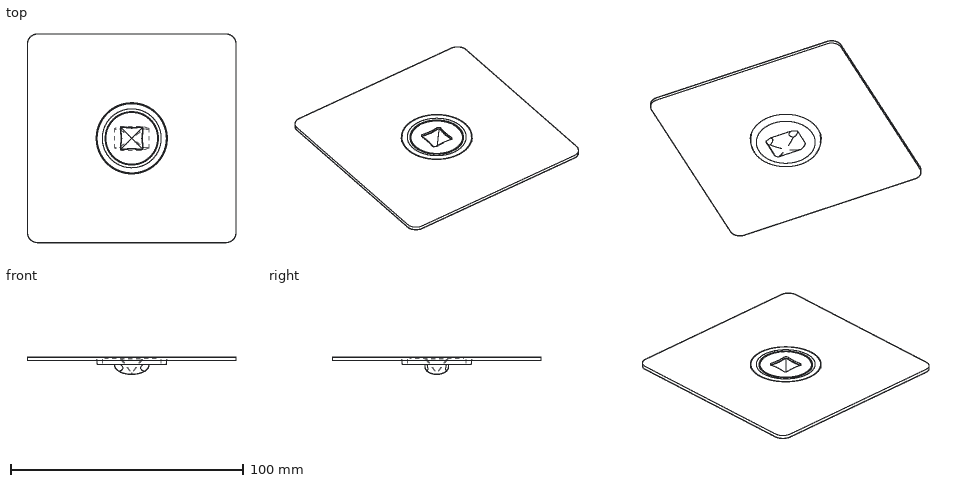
import cadquery as cq
import math

plate_side = 90.0
plate_thickness = 1.5
plate_corner_radius = 4.5
plate_hole_diameter = 30.5

ring_diameter = 30.0
cup_diameter = 25.4
insert_height = 3.2
ring_edge_radius = 0.4
overall_height = 7.48

groove_outer_diameter = 23.0
groove_width = 0.35
groove_depth = 0.5

bulge_length = 14.9
bulge_width = 10.3
long_vault_wall = 0.2
cross_vault_wall = 0.8
corner_cut_length = 2.75
corner_cut_width = 1.0
corner_cut_taper = 15.0

pit_corner = 5.2
pit_waist = 4.65
pit_corner_radius = 1.0
lip_depth = 0.8
star_corner = 4.8
star_waist = 4.3
pit_floor_thickness = 0.6
star_tip_ratio = 0.02

top_z = plate_thickness
insert_bottom_z = top_z - insert_height
bottom_z = top_z - overall_height
bulge_depth = insert_bottom_z - bottom_z


def make_plate():
    """Flat square plate with rounded corners and a round hole."""
    return (
        cq.Workplane("XY")
        .rect(plate_side, plate_side)
        .extrude(plate_thickness)
        .edges("|Z")
        .fillet(plate_corner_radius)
        .faces(">Z")
        .workplane()
        .hole(plate_hole_diameter)
    )


def make_ring():
    """Flat ring, rounded along its lower outer edge."""
    disc = (
        cq.Workplane("XY", origin=(0, 0, insert_bottom_z))
        .circle(ring_diameter / 2)
        .extrude(insert_height)
        .faces("<Z")
        .fillet(ring_edge_radius)
    )
    bore = (
        cq.Workplane("XY", origin=(0, 0, insert_bottom_z))
        .circle(cup_diameter / 2)
        .extrude(insert_height)
    )
    return disc.cut(bore)


def make_vault(plane, width, straight_wall, length):
    """Trough hanging under the cup: upright walls over a half-elliptic bottom."""
    half_width = width / 2
    ellipse_z = insert_bottom_z - straight_wall
    return (
        cq.Workplane(plane)
        .workplane(offset=-length / 2)
        .moveTo(half_width, insert_bottom_z)
        .lineTo(-half_width, insert_bottom_z)
        .lineTo(-half_width, ellipse_z)
        .ellipseArc(half_width, bulge_depth - straight_wall, 180, 360, startAtCurrent=True)
        .close()
        .extrude(length)
    )


def make_bulge():
    """Two crossing vaults with their four corners cut off by the faces of a tapered rhombus."""
    long_vault = make_vault("XZ", bulge_length, long_vault_wall, bulge_width)
    cross_vault = make_vault("YZ", bulge_width, cross_vault_wall, bulge_length)
    cut_slope = corner_cut_width / corner_cut_length
    rhombus_half_width = bulge_width / 2 + (bulge_length / 2 - corner_cut_length) * cut_slope
    rhombus_half_length = rhombus_half_width / cut_slope
    rhombus = (
        cq.Workplane("XY", origin=(0, 0, insert_bottom_z))
        .moveTo(rhombus_half_length, 0)
        .lineTo(0, rhombus_half_width)
        .lineTo(-rhombus_half_length, 0)
        .lineTo(0, -rhombus_half_width)
        .close()
        .extrude(-bulge_depth, taper=corner_cut_taper)
    )
    return long_vault.intersect(cross_vault).intersect(rhombus)


def star_points(corner, waist):
    """Corners on the diagonals alternate with waists on the X and Y axes."""
    points = []
    for step in range(8):
        radius = corner * math.sqrt(2) if step % 2 else waist
        angle = step * math.pi / 4
        points.append((radius * math.cos(angle), radius * math.sin(angle)))
    return points


def make_pit():
    """Bowed square lip over an eight-sided star that narrows to the floor."""
    c = pit_corner
    w = pit_waist
    lip = (
        cq.Workplane("XY", origin=(0, 0, top_z))
        .moveTo(c, c)
        .threePointArc((0, w), (-c, c))
        .threePointArc((-w, 0), (-c, -c))
        .threePointArc((0, -w), (c, -c))
        .threePointArc((w, 0), (c, c))
        .close()
        .extrude(-lip_depth)
        .edges("|Z")
        .fillet(pit_corner_radius)
    )
    star_depth = overall_height - lip_depth - pit_floor_thickness
    star = (
        cq.Workplane("XY", origin=(0, 0, top_z - lip_depth))
        .polyline(star_points(star_corner, star_waist))
        .close()
        .workplane(offset=-star_depth)
        .polyline(star_points(star_corner * star_tip_ratio, star_waist * star_tip_ratio))
        .close()
        .loft(ruled=True)
    )
    return lip.union(star)


def make_cup():
    """Disc with a bulge below, a star-shaped pit and a ring groove on top."""
    disc = (
        cq.Workplane("XY", origin=(0, 0, insert_bottom_z))
        .circle(cup_diameter / 2)
        .extrude(insert_height)
    )
    groove = (
        cq.Workplane("XY", origin=(0, 0, top_z))
        .circle(groove_outer_diameter / 2)
        .circle(groove_outer_diameter / 2 - groove_width)
        .extrude(-groove_depth)
    )
    return disc.union(make_bulge()).cut(groove).cut(make_pit())


plate = make_plate()
ring = make_ring()
cup = make_cup()

result = cq.Compound.makeCompound([plate.val(), ring.val(), cup.val()])